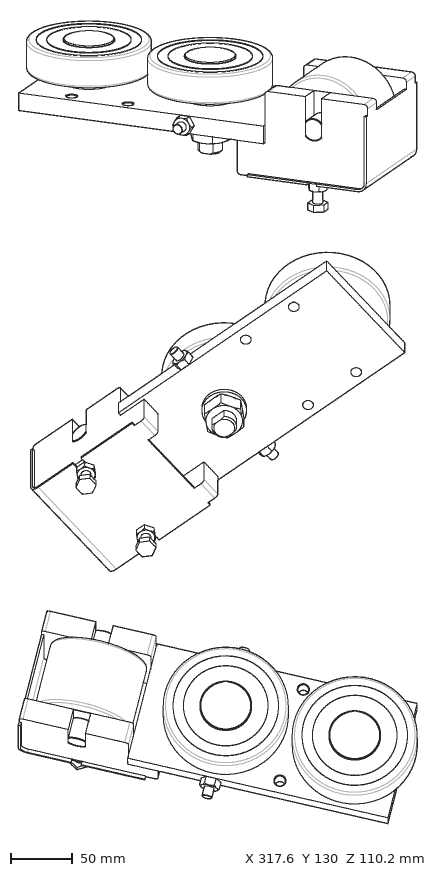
import cadquery as cq
import math


ROLLER_D = 101.0
ROLLER_H = 25.5
ROLLER_ROUND = 2.0
ROLLER_PITCH = 107.0
ROLLER_1_X = ROLLER_D / 2
ROLLER_2_X = ROLLER_1_X + ROLLER_PITCH
GROOVE_OUTER_D = 85.0
GROOVE_INNER_D = 68.3
GROOVE_DEPTH = 0.5
HUB_D = 40.3
HUB_BELOW = 10.5
HUB_ABOVE = 1.0
HUB_RECESS_D = 42.0

PLATE_X0 = 10.8
PLATE_L = 216.0
PLATE_X1 = PLATE_X0 + PLATE_L
PLATE_W = 100.5
PLATE_T = 15.0
HOLE_D = 8.5
HOLE_CHAMFER = 0.5
HOLE_X = 103.0
HOLE_PITCH = 50.0
HOLE_Y = 40.0
ROLLER_Z0 = PLATE_T + HUB_BELOW

CHEEK_X0 = 202.3
CHEEK_L = 115.3
CHEEK_X1 = CHEEK_X0 + CHEEK_L
CHEEK_Z0 = -30.0
CHEEK_Z1 = 43.8
CHEEK_T = 17.8
CHEEK_GAP = 59.0
CHEEK_ROUND = 3.2
CHEEK_OUTER_Y = CHEEK_GAP / 2 + CHEEK_T

SHEET_T = 2.0
SHEET_BEND = 8.0
SHEET_SETBACK = 10.2
SHEET_DROP = 9.2
SHEET_X0 = CHEEK_X0 + SHEET_SETBACK
SHEET_Z1 = CHEEK_Z1 - SHEET_DROP

BARREL_TOP_Z = 56.5
BARREL_X = 269.5
BARREL_D = 80.0
BARREL_L = 57.2
BARREL_ROUND = 2.0
BARREL_Z = BARREL_TOP_Z - BARREL_D / 2
SHAFT_D = 18.7
SHAFT_FLATS = 14.3
SHAFT_CHAMFER = 0.5
SLOT_WEB_T = 0.3

SCREW_D = 8.3
HEX_FLATS = 14.3
LOCK_NUT_H = 6.7
NUT_CHAMFER = 1.0
ADJUSTER_Y = 38.5
ADJUSTER_Z0 = -53.7
ADJUSTER_HEAD_H = 6.0
SIDE_SCREWS_SPAN = 130.0
SIDE_SCREW_CHAMFER = 0.3

STUD_D = 20.0
STUD_FLATS = 16.0
STUD_Z0 = CHEEK_Z0
STUD_CHAMFER = 1.5
WASHER_D = 36.2
WASHER_T = 3.8
STUD_NUT_FLATS = 29.5
STUD_NUT_H = 15.2


def rod(diameter, z0, z1, x=0, y=0):
    """Upright cylinder from z0 to z1."""
    return cq.Workplane("XY", origin=(x, y, z0)).circle(diameter / 2).extrude(z1 - z0)


def cross_rod(diameter, length):
    """Cylinder along Y on the barrel axis, centred on the plane of symmetry."""
    return cq.Workplane("XZ", origin=(BARREL_X, length / 2, BARREL_Z)).circle(diameter / 2).extrude(length)


def hexagon(flats, height):
    """Hexagonal prism on Z = 0 with two corners on the X axis."""
    return cq.Workplane("XY").polygon(6, flats / math.cos(math.pi / 6)).extrude(height)


def hex_nut(flats, height, both_ends=False):
    """Nut on Z = 0 whose corners are turned down at the top, or at both ends."""
    corner_d = flats / math.cos(math.pi / 6)
    turned = cq.Workplane("XY").circle(corner_d / 2).extrude(height)
    turned = turned.faces("|Z" if both_ends else ">Z").chamfer(NUT_CHAMFER, (corner_d - flats) / 2)
    return hexagon(flats, height).intersect(turned)


def make_shaft(chamfer):
    """Round shaft with two upright flats, as long as the cheeks are wide apart."""
    length = 2 * CHEEK_OUTER_Y
    shaft = cross_rod(SHAFT_D, length)
    if chamfer > 0:
        shaft = shaft.faces("|Y").chamfer(chamfer)
    flats = cq.Workplane("XY").box(SHAFT_FLATS, length, SHAFT_D)
    return shaft.intersect(flats.translate((BARREL_X, 0, BARREL_Z)))


def make_plate():
    """Plate with four edge-broken through holes and the bore for the stud."""
    plate = cq.Workplane("XY").box(PLATE_L, PLATE_W, PLATE_T, centered=(False, True, False))
    plate = plate.translate((PLATE_X0, 0, 0))
    hole_spots = [(x, y) for x in (HOLE_X - HOLE_PITCH, HOLE_X) for y in (-HOLE_Y, HOLE_Y)]
    for x, y in hole_spots:
        plate = plate.cut(rod(HOLE_D, 0, PLATE_T, x, y))
    plate = plate.faces(">Z").edges("%CIRCLE").chamfer(HOLE_CHAMFER)
    return plate.cut(rod(STUD_D, 0, PLATE_T, ROLLER_2_X))


def make_cheek(side):
    """One cheek, stepped to sit under the plate end, with an open slot for the shaft."""
    cheek = (
        cq.Workplane("XZ")
        .moveTo(CHEEK_X0, CHEEK_Z0)
        .lineTo(CHEEK_X1, CHEEK_Z0)
        .lineTo(CHEEK_X1, CHEEK_Z1)
        .lineTo(PLATE_X1, CHEEK_Z1)
        .lineTo(PLATE_X1, 0)
        .lineTo(CHEEK_X0, 0)
        .close()
        .extrude(CHEEK_T / 2, both=True)
    )
    cheek = cheek.edges("|Y and >X and <Z").fillet(SHEET_BEND)
    cheek = cheek.edges("|Y and >Z or (|Y and <X and <Z)").fillet(CHEEK_ROUND)
    return cheek.translate((0, side * (CHEEK_GAP + CHEEK_T) / 2, 0))


def make_shaft_slot(side):
    """Slot open at the top of one cheek, with a thin web left at its inner face around the shaft."""
    slot_l = CHEEK_T - SLOT_WEB_T
    opening = cq.Workplane("XY").box(SHAFT_FLATS, slot_l, CHEEK_Z1 - BARREL_Z, centered=(True, True, False))
    return opening.translate((BARREL_X, side * (CHEEK_OUTER_Y - slot_l / 2), BARREL_Z))


def make_sheet():
    """L-shaped sheet, as wide as the plate, with a round bend."""
    inner_bend = SHEET_BEND - SHEET_T
    diagonal = math.sqrt(0.5)
    bend_x = CHEEK_X1 - SHEET_BEND
    bend_z = CHEEK_Z0 + SHEET_BEND
    return (
        cq.Workplane("XZ")
        .moveTo(SHEET_X0, CHEEK_Z0)
        .lineTo(bend_x, CHEEK_Z0)
        .threePointArc((bend_x + SHEET_BEND * diagonal, bend_z - SHEET_BEND * diagonal), (CHEEK_X1, bend_z))
        .lineTo(CHEEK_X1, SHEET_Z1)
        .lineTo(CHEEK_X1 - SHEET_T, SHEET_Z1)
        .lineTo(CHEEK_X1 - SHEET_T, bend_z)
        .threePointArc(
            (bend_x + inner_bend * diagonal, bend_z - inner_bend * diagonal),
            (bend_x, CHEEK_Z0 + SHEET_T),
        )
        .lineTo(SHEET_X0, CHEEK_Z0 + SHEET_T)
        .close()
        .extrude(PLATE_W / 2, both=True)
    )


def make_bolt_slot(side):
    """Slot as deep as the sheet, open to one side, that lets an adjusting bolt in."""
    slot_l = PLATE_W / 2 - ADJUSTER_Y
    slot = cq.Workplane("XY").box(SCREW_D, slot_l, SHEET_T, centered=(True, True, False))
    return slot.translate((BARREL_X, side * (ADJUSTER_Y + slot_l / 2), CHEEK_Z0))


def make_side_screw(side):
    """Locking screw with its nut on one long edge of the plate."""
    screw = rod(SCREW_D, 0, (SIDE_SCREWS_SPAN - PLATE_W) / 2).faces(">Z").chamfer(SIDE_SCREW_CHAMFER)
    screw = screw.union(hex_nut(HEX_FLATS, LOCK_NUT_H))
    screw = screw.rotate((0, 0, 0), (1, 0, 0), -90 * side)
    return screw.translate((ROLLER_2_X, side * PLATE_W / 2, PLATE_T / 2))


def make_frame():
    """Plate, cheeks, sheet and side screws as one solid, cut for the shaft and the bolts."""
    frame = make_plate()
    for side in (-1, 1):
        frame = frame.union(make_cheek(side).cut(make_shaft_slot(side)))
    frame = frame.cut(make_shaft(chamfer=0)).union(make_sheet())
    for side in (-1, 1):
        frame = frame.cut(make_bolt_slot(side))
        frame = frame.cut(rod(SCREW_D, CHEEK_Z0, BARREL_Z, BARREL_X, side * ADJUSTER_Y))
        frame = frame.union(make_side_screw(side))
    return frame


def make_flat_roller(x):
    """Roller with a shallow face groove, on a hub that stands on the plate."""
    top = ROLLER_Z0 + ROLLER_H
    roller = rod(ROLLER_D, ROLLER_Z0, top, x).faces("|Z").edges().fillet(ROLLER_ROUND)
    groove_z = top - GROOVE_DEPTH
    groove = rod(GROOVE_OUTER_D, groove_z, top, x).cut(rod(GROOVE_INNER_D, groove_z, top, x))
    hub_recess = rod(HUB_RECESS_D, groove_z, top, x)
    hub = rod(HUB_D, PLATE_T, top + HUB_ABOVE, x)
    return roller.cut(groove).cut(hub_recess).union(hub)


def make_bolted_roller(x):
    """Flat roller whose stud passes through the plate to a washer and nut."""
    nut_z0 = -WASHER_T - STUD_NUT_H
    stud = rod(STUD_D, nut_z0, PLATE_T, x)
    tail = rod(STUD_D, STUD_Z0, nut_z0, x).faces("<Z").chamfer(STUD_CHAMFER)
    flats = cq.Workplane("XY").box(STUD_D, STUD_FLATS, nut_z0 - STUD_Z0, centered=(True, True, False))
    tail = tail.intersect(flats.translate((x, 0, STUD_Z0)))
    washer = rod(WASHER_D, -WASHER_T, 0, x)
    nut = hex_nut(STUD_NUT_FLATS, STUD_NUT_H, both_ends=True).translate((x, 0, nut_z0))
    return make_flat_roller(x).union(stud).union(washer).union(nut).union(tail)


def make_barrel_roller():
    """Barrel with the shaft that rests in the cheek slots."""
    barrel = cross_rod(BARREL_D, BARREL_L)
    barrel = barrel.faces("|Y").edges().fillet(BARREL_ROUND)
    return barrel.union(make_shaft(SHAFT_CHAMFER))


def make_adjusting_bolt(side):
    """Bolt with its lock nut, rising through one cheek to the underside of the shaft."""
    shank = rod(SCREW_D, ADJUSTER_Z0, BARREL_Z - SHAFT_D / 2)
    head = hexagon(HEX_FLATS, ADJUSTER_HEAD_H).rotate((0, 0, 0), (0, 0, 1), 90)
    head = head.translate((0, 0, ADJUSTER_Z0))
    nut = hex_nut(HEX_FLATS, LOCK_NUT_H).rotate((0, 0, 0), (1, 0, 0), 180)
    nut = nut.translate((0, 0, CHEEK_Z0))
    return shank.union(head).union(nut).translate((BARREL_X, side * ADJUSTER_Y, 0))


frame = make_frame()
fixed_roller = make_flat_roller(ROLLER_1_X)
bolted_roller = make_bolted_roller(ROLLER_2_X)
barrel_roller = make_barrel_roller()
adjusting_bolts = [make_adjusting_bolt(side) for side in (-1, 1)]

result = cq.Compound.makeCompound(
    [
        frame.val(),
        fixed_roller.val(),
        bolted_roller.val(),
        barrel_roller.val(),
        *[bolt.val() for bolt in adjusting_bolts],
    ]
)